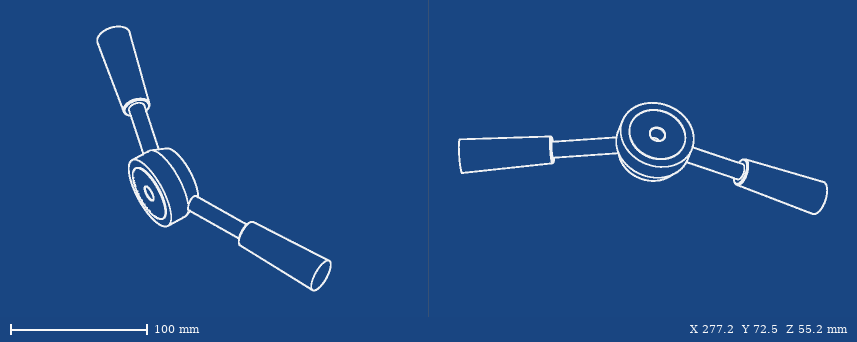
import cadquery as cq
import math

hub_diameter = 55.2
hub_depth = 28.0
pad_diameter = 42.0
pad_height = 0.8
taper_start = 16.0

bore_diameter = 11.0
bore_mouth_diameter = 12.0
bore_depth = 13.9
drill_point_angle = 140

arm_angle = 20
rod_diameter = 12.0
grip_length = 68.0
grip_end_diameter = 25.0
grip_neck_diameter = 20.0
grip_chamfer = 0.8
span = 277.2
total_depth = 72.5

sweep = math.radians(arm_angle)
hub_radius = hub_diameter / 2
hub_back_radius = hub_radius - (hub_depth - taper_start) * math.tan(sweep)

grip_end_radius = grip_end_diameter / 2
end_x = span / 2 - grip_end_radius * math.sin(sweep)
end_y = total_depth - grip_end_radius * math.cos(sweep)
arm_length = end_x / math.cos(sweep)
axis_y = end_y - end_x * math.tan(sweep)


def make_hub():
    profile = [
        (0, 0),
        (pad_diameter / 2, 0),
        (pad_diameter / 2, pad_height),
        (hub_radius, pad_height),
        (hub_radius, taper_start),
        (hub_back_radius, hub_depth),
        (0, hub_depth),
    ]
    return cq.Workplane("XY").polyline(profile).close().revolve(360, (0, 0, 0), (0, 1, 0))


def make_bore():
    radius = bore_diameter / 2
    mouth_radius = bore_mouth_diameter / 2
    chamfer = mouth_radius - radius
    tip = bore_depth + radius / math.tan(math.radians(drill_point_angle / 2))
    profile = [(0, 0), (mouth_radius, 0), (radius, chamfer), (radius, bore_depth), (0, tip)]
    return cq.Workplane("XY").polyline(profile).close().revolve(360, (0, 0, 0), (0, 1, 0))


def make_arm():
    """Rod and tapered grip, turned about X and then swung back about Z."""
    rod_radius = rod_diameter / 2
    neck_radius = grip_neck_diameter / 2
    neck = arm_length - grip_length
    profile = [
        (0, 0),
        (0, rod_radius),
        (neck, rod_radius),
        (neck, neck_radius - grip_chamfer),
        (neck + grip_chamfer, neck_radius),
        (arm_length, grip_end_radius),
        (arm_length, 0),
    ]
    arm = cq.Workplane("XY").polyline(profile).close().revolve(360, (0, 0, 0), (1, 0, 0))
    return arm.rotate((0, 0, 0), (0, 0, 1), arm_angle).translate((0, axis_y, 0))


right_arm = make_arm()
left_arm = right_arm.mirror("YZ")
result = make_hub().union(right_arm).union(left_arm).cut(make_bore())